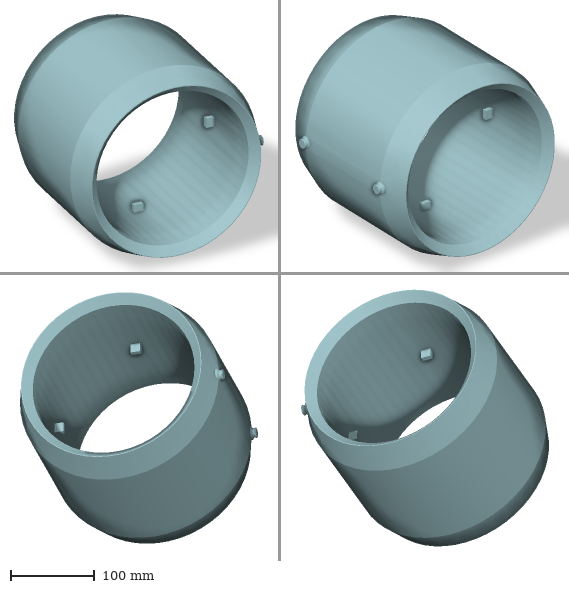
import cadquery as cq

length = 217.0
outer_radius = 123.0
end_radius = 111.6
bore_radius = 100.0
taper_length = 35.8
rim_width = 1.0

block_height = 11.0
block_width = 12.0
block_length = 6.0
block_count = 4
block_embed = 2.5

terminal_top = 129.0
terminal_root = 116.0
lip_radius = 6.3
lip_height = 1.3
lip_chamfer = 0.5
neck_radius = 5.5
foot_radius = 8.0
foot_height = 123.0
flare_height = 2.0

half_length = length / 2
taper_start = half_length - taper_length
rim_inner_radius = end_radius - rim_width
bevel_depth = rim_inner_radius - bore_radius


def make_sleeve():
    """Tapered sleeve with a bevelled bore mouth at both ends."""
    profile = [
        (-half_length, rim_inner_radius),
        (-half_length, end_radius),
        (-taper_start, outer_radius),
        (taper_start, outer_radius),
        (half_length, end_radius),
        (half_length, rim_inner_radius),
        (half_length - bevel_depth, bore_radius),
        (-half_length + bevel_depth, bore_radius),
    ]
    return cq.Workplane("XY").polyline(profile).close().revolve(360, (0, 0, 0), (1, 0, 0))


def make_block():
    """Stop block standing inward from the +Y side of the bore."""
    height = block_height + block_embed
    centre_y = bore_radius - block_height + height / 2
    return cq.Workplane("XY").box(block_length, height, block_width).translate((0, centre_y, 0))


def make_terminal(x):
    """Lipped terminal with a flared foot, its axis along Y."""
    profile = [
        (0, terminal_root),
        (foot_radius, terminal_root),
        (foot_radius, foot_height),
        (neck_radius, foot_height + flare_height),
        (neck_radius, terminal_top - lip_height - lip_chamfer),
        (lip_radius, terminal_top - lip_height),
        (lip_radius, terminal_top - lip_chamfer),
        (lip_radius - lip_chamfer, terminal_top),
        (0, terminal_top),
    ]
    terminal = cq.Workplane("XY").polyline(profile).close().revolve(360, (0, 0, 0), (0, 1, 0))
    return terminal.translate((x, 0, 0))


result = make_sleeve()

for index in range(block_count):
    angle = index * 360 / block_count
    result = result.union(make_block().rotate((0, 0, 0), (1, 0, 0), angle))

for terminal_x in (-taper_start, taper_start):
    result = result.union(make_terminal(terminal_x))